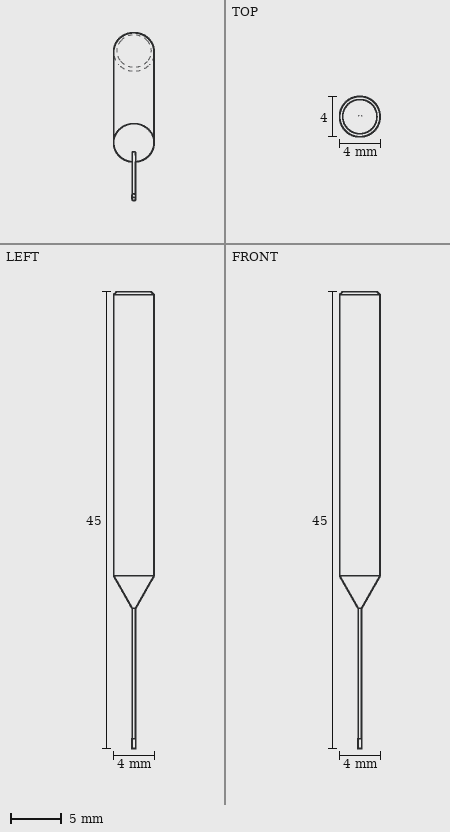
import cadquery as cq

total_length = 45.0

head_diameter = 0.38
head_length = 1.0

shank_diameter = 4.0
shank_chamfer = 0.3
neck_diameter = 0.35
cone_bottom = 13.8
cone_top = 17.0


def make_holder():
    """Chamfered shank, tapering through a cone to the thin neck."""
    shank_radius = shank_diameter / 2
    neck_radius = neck_diameter / 2
    half_profile = (
        cq.Workplane("XZ")
        .moveTo(0, head_length)
        .lineTo(neck_radius, head_length)
        .lineTo(neck_radius, cone_bottom)
        .lineTo(shank_radius, cone_top)
        .lineTo(shank_radius, total_length - shank_chamfer)
        .lineTo(shank_radius - shank_chamfer, total_length)
        .lineTo(0, total_length)
        .close()
    )
    return half_profile.revolve(360, (0, 0, 0), (0, 1, 0))


def make_cutting_head():
    """Plain cylinder whose top face meets the end of the neck."""
    return cq.Workplane("XY").circle(head_diameter / 2).extrude(head_length)


holder = make_holder()
cutting_head = make_cutting_head()

result = cq.Compound.makeCompound([holder.val(), cutting_head.val()])